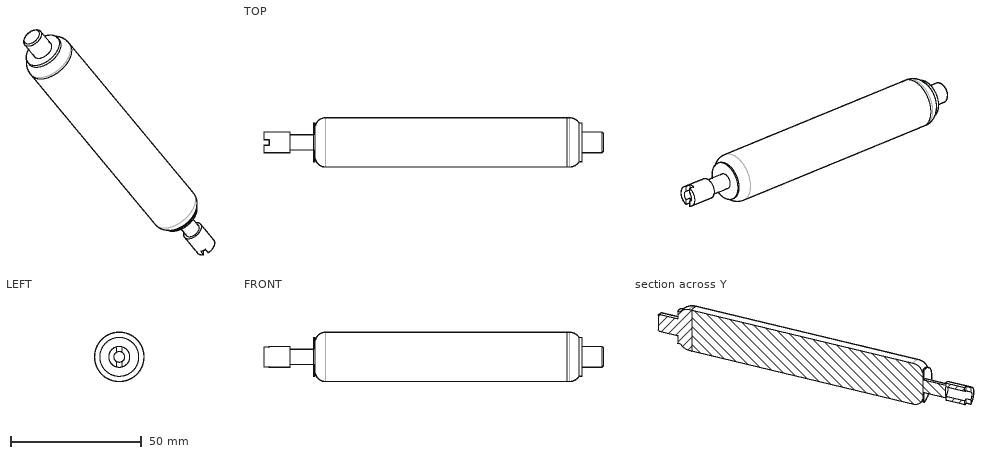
import cadquery as cq
import math

overall_length = 130.0
body_diameter = 19.0
housing_round_radius = 4.0
cap_round_radius = 4.5

rod_end_diameter = 8.0
rod_end_length = 10.0
rod_end_bore_diameter = 4.13
slot_width = 2.0
slot_depth = 2.0

rod_diameter = 6.0

collar_diameter = 14.9
guide_thickness = 0.6
guide_start = 19.0

cap_start = 116.0
cap_rim_length = 0.9
cap_collar_end = 121.8

stud_diameter = 8.0
stud_chamfer = 0.6

body_radius = body_diameter / 2
collar_radius = collar_diameter / 2
housing_start = guide_start + guide_thickness
housing_length = cap_start - housing_start
cap_round_start = cap_start + cap_rim_length
cap_round_center_radius = body_radius - cap_round_radius
collar_offset = collar_radius - cap_round_center_radius
cap_round_length = math.sqrt(cap_round_radius**2 - collar_offset**2)
cap_round_end = cap_round_start + cap_round_length


def cylinder_along_x(start, length, diameter):
    """Solid cylinder on the X axis, from the given station towards +X."""
    return cq.Workplane("YZ", origin=(start, 0, 0)).circle(diameter / 2).extrude(length)


def make_rod_end():
    """Bored sleeve at the tip of the rod, with a screwdriver slot along Z in its end face."""
    sleeve = cylinder_along_x(0, rod_end_length, rod_end_diameter)
    bore = cylinder_along_x(0, rod_end_length, rod_end_bore_diameter)
    slot = cq.Workplane("XY").box(
        slot_depth, slot_width, rod_end_diameter, centered=(False, True, True)
    )
    return sleeve.cut(bore).cut(slot)


def make_rod():
    """Plain rod from the rod end, through the guide, to the housing."""
    return cylinder_along_x(rod_end_length, housing_start - rod_end_length, rod_diameter)


def make_guide():
    """Thin disc in front of the housing, with a hole for the rod."""
    disc = cylinder_along_x(guide_start, guide_thickness, collar_diameter)
    rod_hole = cylinder_along_x(guide_start, guide_thickness, rod_diameter)
    return disc.cut(rod_hole)


def make_housing():
    """Long cylinder with its rod-side edge rounded over."""
    blank = cylinder_along_x(housing_start, housing_length, body_diameter)
    return blank.faces("<X").edges().fillet(housing_round_radius)


def make_end_cap():
    """Rounded cap with a collar and a chamfered stud, turned about X."""
    arc_half_angle = math.acos(collar_offset / cap_round_radius) / 2
    arc_middle = (
        cap_round_start + cap_round_radius * math.sin(arc_half_angle),
        cap_round_center_radius + cap_round_radius * math.cos(arc_half_angle),
    )
    stud_radius = stud_diameter / 2
    profile = (
        cq.Workplane("XY")
        .moveTo(cap_start, 0)
        .lineTo(cap_start, body_radius)
        .lineTo(cap_round_start, body_radius)
        .threePointArc(arc_middle, (cap_round_end, collar_radius))
        .lineTo(cap_collar_end, collar_radius)
        .lineTo(cap_collar_end, stud_radius)
        .lineTo(overall_length - stud_chamfer, stud_radius)
        .lineTo(overall_length, stud_radius - stud_chamfer)
        .lineTo(overall_length, 0)
        .close()
    )
    return profile.revolve(360, (0, 0, 0), (1, 0, 0))


rod_end = make_rod_end()
rod = make_rod()
guide = make_guide()
housing = make_housing()
end_cap = make_end_cap()

result = cq.Compound.makeCompound(
    [rod_end.val(), rod.val(), guide.val(), housing.val(), end_cap.val()]
)